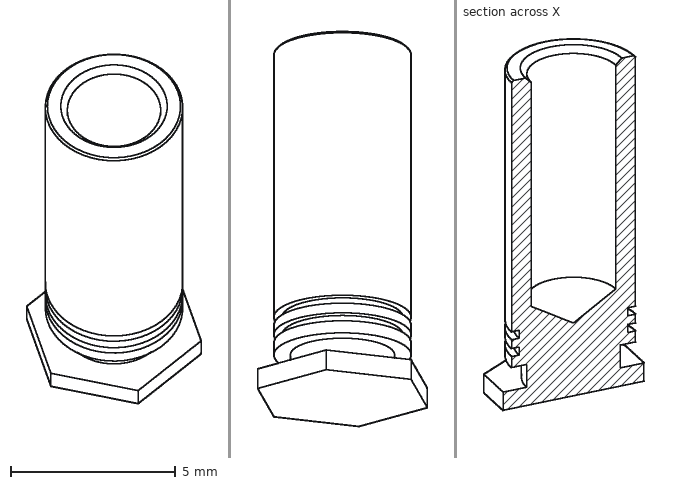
import cadquery as cq
import math

total_height = 11.11
body_diameter = 4.19
top_edge_chamfer = 0.07

hex_across_flats = 4.75
hex_across_corners = 5.48
hex_height = 0.63

neck_diameter = 3.18
neck_top = 1.39
groove_diameter = 3.69
lower_groove_bottom = 1.78
lower_groove_top = 2.03
upper_groove_bottom = 2.34
upper_groove_top = 2.6

bore_diameter = 2.84
mouth_diameter = 3.24
mouth_depth = (mouth_diameter - bore_diameter) / 2
drill_point_angle = 118.0
bore_floor = 3.33
drill_point_depth = bore_diameter / 2 / math.tan(math.radians(drill_point_angle / 2))


def cylinder(diameter, bottom, top):
    return cq.Workplane("XY").workplane(offset=bottom).circle(diameter / 2).extrude(top - bottom)


def make_bore():
    bore_radius = bore_diameter / 2
    mouth_radius = mouth_diameter / 2
    return (
        cq.Workplane("XZ")
        .moveTo(0, bore_floor - drill_point_depth)
        .lineTo(bore_radius, bore_floor)
        .lineTo(bore_radius, total_height - mouth_depth)
        .lineTo(mouth_radius, total_height)
        .lineTo(0, total_height)
        .close()
        .revolve(360, (0, 0, 0), (0, 1, 0))
    )


def make_head():
    corner_x = hex_across_corners / 2
    flat_end_x = corner_x / 2
    flat_y = hex_across_flats / 2
    corners = [
        (corner_x, 0),
        (flat_end_x, flat_y),
        (-flat_end_x, flat_y),
        (-corner_x, 0),
        (-flat_end_x, -flat_y),
        (flat_end_x, -flat_y),
    ]
    return cq.Workplane("XY").polyline(corners).close().extrude(hex_height)


neck = cylinder(neck_diameter, hex_height, neck_top)
groove_core = cylinder(groove_diameter, neck_top, upper_groove_top)
lower_ring = cylinder(body_diameter, neck_top, lower_groove_bottom)
upper_ring = cylinder(body_diameter, lower_groove_top, upper_groove_bottom)
sleeve = cylinder(body_diameter, upper_groove_top, total_height).faces(">Z").chamfer(top_edge_chamfer)

result = make_head()
for section in (neck, groove_core, lower_ring, upper_ring, sleeve):
    result = result.union(section)
result = result.cut(make_bore())